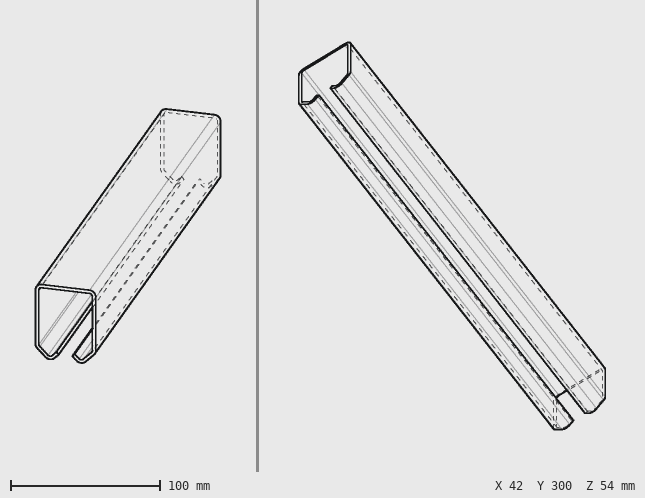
import cadquery as cq
import math

width = 42.0
length = 300.0
height = 54.0

thickness = 2.5
outer_radius = 4.5
inner_radius = outer_radius - thickness

lip_centre = 10.8
slot_width = 9.3

half_width = width / 2
half_slot = slot_width / 2

bottom_corner_z = -outer_radius * (math.sqrt(2) - 1)
side_corner_z = bottom_corner_z + half_width - lip_centre
tip_z = bottom_corner_z + lip_centre - half_slot
tip_step = thickness / math.sqrt(2)

outer_corners = [
    (-half_width, height),
    (-half_width, side_corner_z),
    (-lip_centre, bottom_corner_z),
]
inner_corners = [
    (-half_width + thickness, height - thickness),
    (-half_width + thickness, side_corner_z + thickness * math.tan(math.radians(22.5))),
    (-lip_centre, bottom_corner_z + thickness * math.sqrt(2)),
]
outer_tip = (-half_slot, tip_z)
inner_tip = (-half_slot - tip_step, tip_z + tip_step)


def mirrored(points):
    """Reflect profile points in the mid-plane."""
    return [(-x, z) for x, z in points]


def round_corners(body, corners, radius):
    """Fillet the lengthwise edges that pass through the given profile corners."""
    for x, z in corners + mirrored(corners):
        edge = cq.selectors.NearestToPointSelector((x, 0, z))
        body = body.edges("|Y").edges(edge).fillet(radius)
    return body


left_path = inner_corners + [inner_tip, outer_tip] + outer_corners[::-1]
profile = left_path + mirrored(left_path)[::-1]

rail = cq.Workplane("XZ").polyline(profile).close().extrude(length / 2, both=True)
rail = round_corners(rail, outer_corners, outer_radius)
result = round_corners(rail, inner_corners, inner_radius)